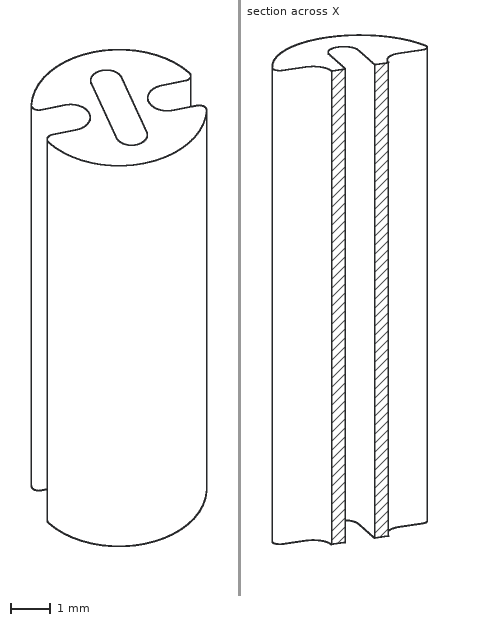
import cadquery as cq

length = 13.0
body_diameter = 4.5
groove_width = 1.0
groove_floor = 0.79
lip_radius = 0.2
window_length = 3.0
window_width = 0.8

body_radius = body_diameter / 2
groove_radius = groove_width / 2
groove_center = groove_floor + groove_radius


def groove_cutter(side):
    """Round-bottomed groove along the body, open towards +Y (side=1) or -Y (side=-1)."""
    center_y = side * groove_center
    round_bottom = cq.Workplane("XY").center(0, center_y).circle(groove_radius).extrude(length)
    opening = (
        cq.Workplane("XY")
        .center(0, center_y + side * body_radius / 2)
        .rect(groove_width, body_radius)
        .extrude(length)
    )
    return round_bottom.union(opening)


body = cq.Workplane("XY").circle(body_radius).extrude(length)

for side in (1, -1):
    body = body.cut(groove_cutter(side))
mouth_depth = body_radius - groove_center
lip_zone = groove_center + mouth_depth / 2
lip_selector = cq.selectors.BoxSelector(
    (-groove_width, lip_zone, 0), (groove_width, body_radius, length)
)
opposite_lip_selector = cq.selectors.BoxSelector(
    (-groove_width, -body_radius, 0), (groove_width, -lip_zone, length)
)
lips = body.edges("|Z").edges(lip_selector + opposite_lip_selector)
body = lips.fillet(lip_radius)

window = cq.Workplane("XY").slot2D(window_length, window_width).extrude(length)
result = body.cut(window)